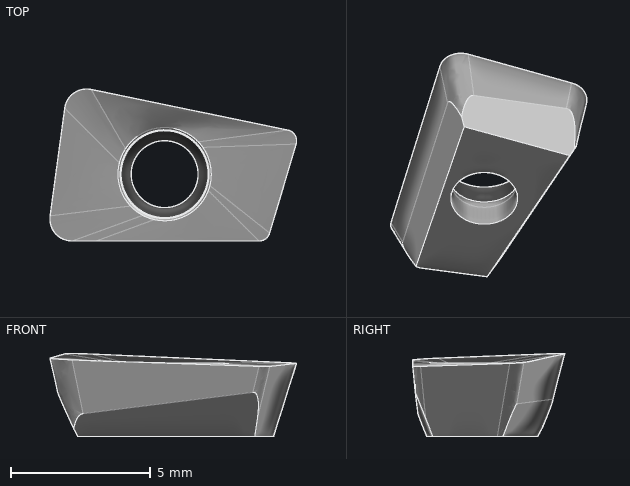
import cadquery as cq
import math


TOP_CORNERS = [(-4.245, -2.41), (3.69, -2.41), (4.86, 1.5), (-3.48, 3.22)]
CORNER_RADII = [0.8, 0.4, 0.4, 0.8]
LOWER_CORNER_RADII = [0.73, 0.4, 0.4, 0.67]

EDGE_HEIGHT = 2.74
TILT_X = -0.035
TILT_Y = 0.044

WALL_SLOPES = [0.096, 0.255, 0.225, 0.215]
RELIEF_SLOPES = [0.4, 0.5, 0.43, 0.475]

BASE_CORNERS = [(-3.13, -1.9), (3.26, -1.68), (4.06, 0.81), (-2.68, 2.1)]
RELIEF_HEIGHT = 3.55

RIM_RADIUS = 1.68
RIM_Z = 2.65
HEAD_RADIUS = 1.6
HEAD_FLOOR_RADIUS = 1.56
RIM_BEVEL_DEPTH = 0.04
BORE_RADIUS = 1.2
HEAD_FLOOR_Z = 1.66
BORE_TOP_Z = 0.96

RIM_FLATS = [(-118.0, -20.6), (-14.3, 35.0), (43.7, 147.0), (166.0, 223.0)]

FRONT_SPLIT_X = -2.47
FRONT_SPLIT_ANGLE = -103.0


def edge_z(x, y):
    """Height of the cutting-edge plane."""
    return EDGE_HEIGHT + TILT_X * x + TILT_Y * y


def base_z(x, y):
    """Height of the base plane."""
    return 0.0


def line_crossing(line_a, line_b):
    """Plan point where two lines, each given by two points, cross."""
    (ax, ay), (bx, by) = line_a
    (cx, cy), (dx, dy) = line_b
    ux, uy = bx - ax, by - ay
    vx, vy = dx - cx, dy - cy
    t = ((cx - ax) * vy - (cy - ay) * vx) / (ux * vy - uy * vx)
    return (ax + t * ux, ay + t * uy)


def shift_sides(corners, corner_heights, slopes):
    """Move each side outward by its slope times the height at each of its ends."""
    count = len(corners)
    sides = []
    for i in range(count):
        j = (i + 1) % count
        (ax, ay), (bx, by) = corners[i], corners[j]
        length = math.hypot(bx - ax, by - ay)
        out_x, out_y = (by - ay) / length, (ax - bx) / length
        run_a = slopes[i] * corner_heights[i]
        run_b = slopes[i] * corner_heights[j]
        sides.append((
            (ax + out_x * run_a, ay + out_y * run_a),
            (bx + out_x * run_b, by + out_y * run_b),
        ))
    return [line_crossing(sides[i - 1], sides[i]) for i in range(count)]


def rounded_edges(corners, radii, height_at):
    """Straight side and following corner arc, side by side, at the given heights."""
    count = len(corners)
    arcs = []
    for i in range(count):
        corner = cq.Vector(*corners[i])
        before = (cq.Vector(*corners[i - 1]) - corner).normalized()
        after = (cq.Vector(*corners[(i + 1) % count]) - corner).normalized()
        half_angle = before.getAngle(after) / 2
        tangent = radii[i] / math.tan(half_angle)
        to_middle = radii[i] / math.sin(half_angle) - radii[i]
        bisector = (before + after).normalized()
        plan_points = [corner + before * tangent, corner + bisector * to_middle, corner + after * tangent]
        arcs.append([cq.Vector(p.x, p.y, height_at(p.x, p.y)) for p in plan_points])
    edges = []
    for i in range(count):
        next_arc = arcs[(i + 1) % count]
        edges.append(cq.Edge.makeLine(arcs[i][2], next_arc[0]))
        edges.append(cq.Edge.makeThreePointArc(*next_arc))
    return edges


def rim_arc(start, end):
    """Arc of the hole rim between two directions in degrees."""
    angles = [math.radians(a) for a in (start, (start + end) / 2, end)]
    points = [cq.Vector(RIM_RADIUS * math.cos(a), RIM_RADIUS * math.sin(a), RIM_Z) for a in angles]
    return cq.Edge.makeThreePointArc(*points)


def rim_edges():
    """Arcs of the hole rim, matching the split cutting edge one by one."""
    edges = []
    for i, (start, end) in enumerate(RIM_FLATS):
        next_start = RIM_FLATS[(i + 1) % len(RIM_FLATS)][0]
        corner_end = end + (next_start - end) % 360
        edges.append(rim_arc(start, end))
        edges.append(rim_arc(end, corner_end))
    front_start, front_end = RIM_FLATS[0]
    split_arcs = [rim_arc(front_start, FRONT_SPLIT_ANGLE), rim_arc(FRONT_SPLIT_ANGLE, front_end)]
    return split_arcs + edges[1:]


def split_front(edges):
    """Replace the straight front edge by two collinear pieces."""
    start, end = edges[0].startPoint(), edges[0].endPoint()
    split = start + (end - start) * ((FRONT_SPLIT_X - start.x) / (end.x - start.x))
    return [cq.Edge.makeLine(start, split), cq.Edge.makeLine(split, end)] + edges[1:]


cutting_edges = rounded_edges(TOP_CORNERS, CORNER_RADII, edge_z)


def upper_body():
    """Drafted walls with rounded corners below the cutting edge."""
    depths = [-edge_z(x, y) for x, y in TOP_CORNERS]
    lower_corners = shift_sides(TOP_CORNERS, depths, WALL_SLOPES)
    lower_edges = rounded_edges(lower_corners, LOWER_CORNER_RADII, base_z)
    wires = [cq.Wire.assembleEdges(lower_edges), cq.Wire.assembleEdges(cutting_edges)]
    return cq.Workplane(obj=cq.Solid.makeLoft(wires, True))


def relief_body():
    """Sharp-cornered pyramid whose more strongly inclined sides form the lower relief faces."""
    heights = [RELIEF_HEIGHT] * len(BASE_CORNERS)
    flared_corners = shift_sides(BASE_CORNERS, heights, RELIEF_SLOPES)
    base = cq.Wire.makePolygon([cq.Vector(x, y, 0) for x, y in BASE_CORNERS], close=True)
    flared = cq.Wire.makePolygon([cq.Vector(x, y, RELIEF_HEIGHT) for x, y in flared_corners], close=True)
    return cq.Workplane(obj=cq.Solid.makeLoft([base, flared], True))


def rake_dish():
    """Shallow hollow whose ruled floor runs from the cutting edge down to the hole rim."""
    rim = rim_edges()
    outline = split_front(cutting_edges)
    faces = [cq.Face.makeRuledSurface(outer, inner) for outer, inner in zip(outline, rim)]
    faces.append(cq.Face.makeFromWires(cq.Wire.assembleEdges(outline)))
    faces.append(cq.Face.makeFromWires(cq.Wire.assembleEdges(rim)))
    return cq.Workplane(obj=cq.Solid.makeSolid(cq.Shell.makeShell(faces)).fix())


def screw_hole():
    """Bevelled head recess, rounded seat tangent to the bore, and through bore."""
    step = HEAD_FLOOR_RADIUS - BORE_RADIUS
    seat_depth = HEAD_FLOOR_Z - BORE_TOP_Z
    seat_radius = (step**2 + seat_depth**2) / (2 * step)
    half_sweep = math.asin(seat_depth / seat_radius) / 2
    seat_middle = (
        BORE_RADIUS + seat_radius * (1 - math.cos(half_sweep)),
        BORE_TOP_Z + seat_radius * math.sin(half_sweep),
    )
    return (
        cq.Workplane("XZ")
        .moveTo(0, 0)
        .lineTo(BORE_RADIUS, 0)
        .lineTo(BORE_RADIUS, BORE_TOP_Z)
        .threePointArc(seat_middle, (HEAD_FLOOR_RADIUS, HEAD_FLOOR_Z))
        .lineTo(HEAD_RADIUS, RIM_Z - RIM_BEVEL_DEPTH)
        .lineTo(RIM_RADIUS, RIM_Z)
        .lineTo(0, RIM_Z)
        .close()
        .revolve(360, (0, 0, 0), (0, 1, 0))
    )


result = upper_body().intersect(relief_body()).cut(rake_dish()).cut(screw_hole())